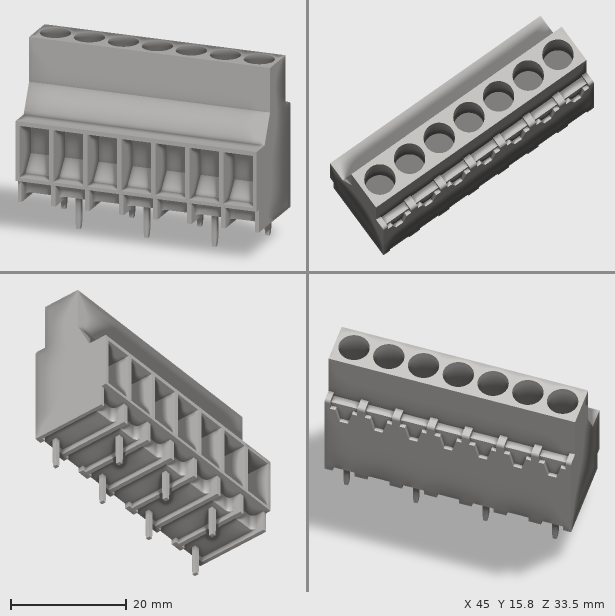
import cadquery as cq


POLES = 7
PITCH = 6.35
LENGTH = 45.05
POLE_XS = [PITCH * (i - (POLES - 1) / 2) for i in range(POLES)]

BASE_Z = 4.95
STEP_Z = 9.1
FRONT_TOP_Z = 20.1
BEVEL_TOP_Z = 25.3
SHELF_Z = 24.35
TOP_Z = 33.5

TOWER_BACK = 2.2
TOWER_FRONT = 9.55
BEVEL_FRONT = 12.1
SKIRT_FRONT = 14.85
FRONT = 15.85
SHELF_RADIUS = 0.55

SHAFT_DIAMETER = 5.45
SHAFT_DEPTH = TOP_Z - BEVEL_TOP_Z

POLE_WIDTH = 5.5
ENTRY_FLOOR_Z = 9.75
ENTRY_TOP_Z = 19.3
ENTRY_FLOOR_DEPTH = 2.7
ENTRY_DEPTH = 5.3
ENTRY_RAMP_TOP_Z = 12.6

UNDERSIDE_Z = 6.0
SKIRT_RECESS_DEPTH = 2.55
SKIRT_RECESS_RADIUS = 1.0
BACK_WALL = 1.0
BACK_OPENING_WIDTH = 4.05

NOTCH_WIDTH = 4.95
NOTCH_DEPTH = 1.0
SLOT_DEPTH = 2.0
SLOT_THICKNESS = 0.7
GROOVE_TOP_WIDTH = 3.0
GROOVE_BOTTOM_WIDTH = 1.55
GROOVE_DEPTH = 2.97

PIN_WIDTH = 1.0
PIN_THICKNESS = 0.8
PIN_TIP_WIDTH = 0.68
PIN_TAPER_HEIGHT = 1.5
PIN_ROWS = [1.8, 10.8]


def block(x, width, back, front, bottom, top):
    """Box centred on x, between two distances from the back face and two heights."""
    return cq.Workplane("XY").box(width, front - back, top - bottom).translate(
        (x, -(back + front) / 2, (bottom + top) / 2)
    )


def side_extrusion(points, x, width):
    """Outline of (distance from back, height) points, extruded to a width centred on x."""
    outline = [(-distance, z) for distance, z in points]
    return cq.Workplane("YZ").polyline(outline).close().extrude(width / 2, both=True).translate((x, 0, 0))


def housing_body():
    """Stepped housing with a sloping shoulder, rounded at the back edge of its shelf."""
    outline = [
        (0, BASE_Z),
        (0, SHELF_Z),
        (TOWER_BACK, SHELF_Z),
        (TOWER_BACK, TOP_Z),
        (TOWER_FRONT, TOP_Z),
        (TOWER_FRONT, BEVEL_TOP_Z),
        (BEVEL_FRONT, FRONT_TOP_Z),
        (FRONT, FRONT_TOP_Z),
        (FRONT, STEP_Z),
        (SKIRT_FRONT, STEP_Z),
        (SKIRT_FRONT, BASE_Z),
    ]
    body = side_extrusion(outline, 0, LENGTH)
    shelf_edge = cq.selectors.NearestToPointSelector((0, 0, SHELF_Z))
    return body.edges(shelf_edge).fillet(SHELF_RADIUS)


def screw_shaft(x):
    """Round blind shaft in the middle of the tower top."""
    center = (x, -(TOWER_BACK + TOWER_FRONT) / 2, TOP_Z - SHAFT_DEPTH)
    return cq.Workplane("XY").circle(SHAFT_DIAMETER / 2).extrude(SHAFT_DEPTH).translate(center)


def wire_entry(x):
    """Rectangular pocket in the front whose floor ramps up towards its back."""
    outline = [
        (FRONT, ENTRY_FLOOR_Z),
        (FRONT, ENTRY_TOP_Z),
        (FRONT - ENTRY_DEPTH, ENTRY_TOP_Z),
        (FRONT - ENTRY_DEPTH, ENTRY_RAMP_TOP_Z),
        (FRONT - ENTRY_FLOOR_DEPTH, ENTRY_FLOOR_Z),
    ]
    return side_extrusion(outline, x, POLE_WIDTH)


def skirt_recess(x):
    """Recess below the wire entry with rounded vertical corners at its back."""
    back = SKIRT_FRONT - SKIRT_RECESS_DEPTH
    recess = block(x, POLE_WIDTH, back, SKIRT_FRONT, UNDERSIDE_Z, STEP_Z)
    return recess.edges("|Z and >Y").fillet(SKIRT_RECESS_RADIUS)


def underside_channel(x):
    """Shallow channel under the pole, leaving through a narrower opening in the back wall."""
    channel = block(x, POLE_WIDTH, BACK_WALL, SKIRT_FRONT, BASE_Z, UNDERSIDE_Z)
    opening = block(x, BACK_OPENING_WIDTH, 0, BACK_WALL, BASE_Z, UNDERSIDE_Z)
    return channel.union(opening)


def shelf_notch(x):
    """Notch in the shelf, deeper along the back edge, with a tapered groove in that lower floor."""
    slot_floor_z = SHELF_Z - SLOT_DEPTH
    notch = block(x, NOTCH_WIDTH, 0, TOWER_BACK, SHELF_Z - NOTCH_DEPTH, SHELF_Z)
    slot = block(x, NOTCH_WIDTH, 0, SLOT_THICKNESS, slot_floor_z, SHELF_Z)
    groove_outline = [
        (x - GROOVE_TOP_WIDTH / 2, slot_floor_z),
        (x + GROOVE_TOP_WIDTH / 2, slot_floor_z),
        (x + GROOVE_BOTTOM_WIDTH / 2, slot_floor_z - GROOVE_DEPTH),
        (x - GROOVE_BOTTOM_WIDTH / 2, slot_floor_z - GROOVE_DEPTH),
    ]
    groove = cq.Workplane("XZ").polyline(groove_outline).close().extrude(SLOT_THICKNESS)
    return notch.union(slot).union(groove)


def make_housing():
    body = housing_body()
    for x in POLE_XS:
        body = body.cut(screw_shaft(x))
        body = body.cut(wire_entry(x))
        body = body.cut(skirt_recess(x))
        body = body.cut(underside_channel(x))
        body = body.cut(shelf_notch(x))
    return body


def make_pin(x, row):
    """Flat pin standing against the underside, narrowed in width towards its tip."""
    outline = [
        (x - PIN_TIP_WIDTH / 2, 0),
        (x + PIN_TIP_WIDTH / 2, 0),
        (x + PIN_WIDTH / 2, PIN_TAPER_HEIGHT),
        (x + PIN_WIDTH / 2, UNDERSIDE_Z),
        (x - PIN_WIDTH / 2, UNDERSIDE_Z),
        (x - PIN_WIDTH / 2, PIN_TAPER_HEIGHT),
    ]
    back_face = row - PIN_THICKNESS / 2
    return cq.Workplane("XZ").polyline(outline).close().extrude(PIN_THICKNESS).translate((0, -back_face, 0))


housing = make_housing()
pins = [make_pin(x, PIN_ROWS[i % len(PIN_ROWS)]) for i, x in enumerate(POLE_XS)]

result = cq.Compound.makeCompound([housing.val(), *[pin.val() for pin in pins]])